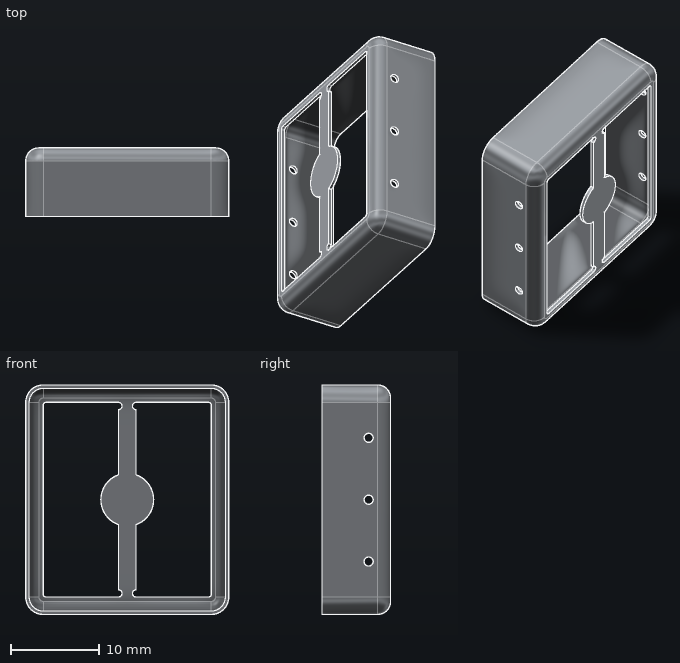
import cadquery as cq

WIDTH = 23.0
DEPTH = 7.8
HEIGHT = 26.0
WALL = 0.4
CORNER_RADIUS = 2.0
EDGE_RADIUS = 1.5

RIM_WIDTH = 2.0
WINDOW_CORNER_RADIUS = 0.3

BAR_WIDTH = 2.0
PAD_DIAMETER = 6.0
RELIEF_RADIUS = 0.4

HOLE_DIAMETER = 1.0
HOLE_PITCH = 7.0
HOLE_COUNT = 3
HOLE_SETBACK = 2.5

BACK_Y = DEPTH / 2
FLOOR_Y = BACK_Y - WALL
WINDOW_WIDTH = WIDTH - 2 * RIM_WIDTH
WINDOW_HEIGHT = HEIGHT - 2 * RIM_WIDTH


def rounded_block(width, height, front_y, back_y, corner_radius):
    """Block from front_y to back_y with its four Y-direction edges rounded."""
    depth = back_y - front_y
    block = cq.Workplane("XY").box(width, depth, height)
    block = block.translate((0, front_y + depth / 2, 0))
    return block.edges("|Y").fillet(corner_radius)


def make_shell():
    """Thin-walled tray with a constant wall around its rounded back edge."""
    outer = rounded_block(WIDTH, HEIGHT, -BACK_Y, BACK_Y, CORNER_RADIUS)
    outer = outer.faces(">Y").edges().fillet(EDGE_RADIUS)
    cavity = rounded_block(
        WIDTH - 2 * WALL, HEIGHT - 2 * WALL, -BACK_Y, FLOOR_Y, CORNER_RADIUS - WALL
    )
    cavity = cavity.faces(">Y").edges().fillet(EDGE_RADIUS - WALL)
    return outer.cut(cavity)


def make_bar():
    """Vertical bar with a central pad, spanning the window."""
    bar = cq.Workplane("XY").box(BAR_WIDTH, WALL, WINDOW_HEIGHT)
    bar = bar.translate((0, FLOOR_Y + WALL / 2, 0))
    pad = cq.Workplane("XZ", origin=(0, BACK_Y, 0)).circle(PAD_DIAMETER / 2).extrude(WALL)
    return bar.union(pad)


def make_reliefs():
    """Round notches in the bar edges, tangent to the window's top and bottom."""
    x = BAR_WIDTH / 2
    z = WINDOW_HEIGHT / 2 - RELIEF_RADIUS
    centers = [(sx * x, sz * z) for sx in (-1, 1) for sz in (-1, 1)]
    reliefs = cq.Workplane("XZ", origin=(0, BACK_Y, 0)).pushPoints(centers)
    return reliefs.circle(RELIEF_RADIUS).extrude(WALL)


def make_window():
    """Pair of openings left on either side of the bar and pad."""
    window = rounded_block(WINDOW_WIDTH, WINDOW_HEIGHT, FLOOR_Y, BACK_Y, WINDOW_CORNER_RADIUS)
    return window.cut(make_bar()).union(make_reliefs())


def make_side_holes():
    """Row of holes along Z, passing through both side walls."""
    holes = cq.Workplane("YZ", origin=(-WIDTH / 2, BACK_Y - HOLE_SETBACK, 0))
    holes = holes.rarray(1, HOLE_PITCH, 1, HOLE_COUNT)
    return holes.circle(HOLE_DIAMETER / 2).extrude(WIDTH)


result = make_shell().cut(make_window()).cut(make_side_holes())